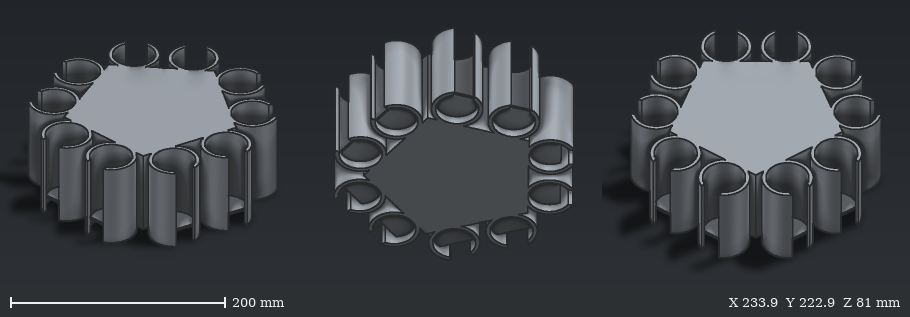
import cadquery as cq
import math

side_count = 5
apothem = 68.8
height = 81.0
circumradius = apothem / math.cos(math.pi / side_count)

bore_diameter = 40.0
wall = 4.0
holder_spacing = 56.0
slot_width = 20.0
bore_radius = bore_diameter / 2
outer_radius = bore_radius + wall
holder_distance = apothem + bore_radius

shelf_bottom = 9.0
shelf_thickness = 2.0
shelf_reach = 10.0
shelf_overlap = wall / 2


def make_block():
    """Pentagonal prism with a corner on +Y and a flat side on -Y."""
    block = cq.Workplane("XY").polygon(side_count, 2 * circumradius).extrude(height)
    return block.rotate((0, 0, 0), (0, 0, 1), 90)


def make_holder():
    """Tube centred on the origin, with its slot and shelf edge facing -Y."""
    tube = cq.Workplane("XY").circle(outer_radius).circle(bore_radius).extrude(height)
    slot = (
        cq.Workplane("XY")
        .center(0, -outer_radius)
        .rect(slot_width, 2 * outer_radius)
        .extrude(height)
    )

    shelf_radius = bore_radius + shelf_overlap
    half_edge = math.sqrt(shelf_radius**2 - shelf_reach**2)
    shelf = (
        cq.Workplane("XY", origin=(0, 0, shelf_bottom))
        .moveTo(-half_edge, -shelf_reach)
        .threePointArc((0, shelf_radius), (half_edge, -shelf_reach))
        .close()
        .extrude(shelf_thickness)
    )
    return tube.cut(slot).union(shelf)


result = make_block()
holder = make_holder()
for side in range(side_count):
    side_angle = side * 360 / side_count
    for offset in (-holder_spacing / 2, holder_spacing / 2):
        placed = holder.translate((offset, -holder_distance, 0))
        result = result.union(placed.rotate((0, 0, 0), (0, 0, 1), side_angle))